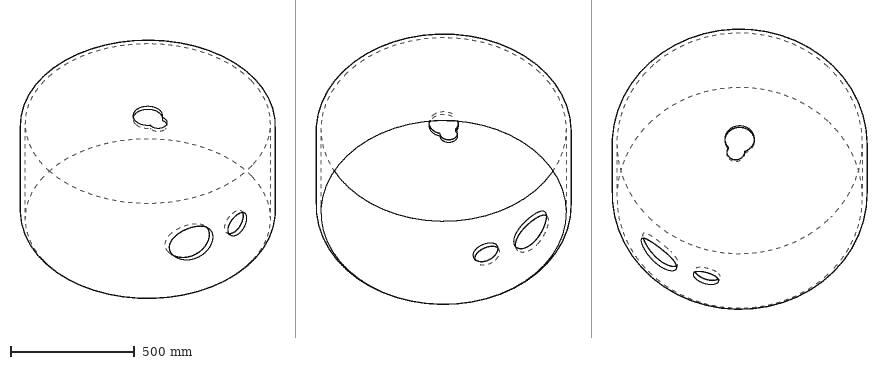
import cadquery as cq
import math

outer_radius = 515.0
height = 547.0
bore_radius = 990.0 / 2
wall = outer_radius - bore_radius
roof_thickness = 16.0

bottom_round_height = 43.0
bottom_round = (wall**2 + bottom_round_height**2) / (2 * wall)
shoulder_round = 32.0
roof_corner_radius = 402.0
roof_round = 57.0
slope = math.radians(14.5)

keyhole_diameter = 118.0
key_notch_diameter = 71.0
key_notch_x = 60.0

port_z = 283.0
large_port_diameter = 170.0
large_port_y = -211.0
small_port_diameter = 106.0
port_start_x = outer_radius / 2


def arc_point(center, radius, angle):
    """Point on a profile arc, with the angle measured from the vertical."""
    return (center[0] + radius * math.sin(angle), center[1] + radius * math.cos(angle))


def make_shell():
    """Open-bottomed drum with a rounded lower edge and a sloping roof rim."""
    flat_radius = roof_corner_radius - roof_round * math.tan(slope / 2)
    roof_center = (flat_radius, height - roof_round)
    cone_top = arc_point(roof_center, roof_round, slope)

    shoulder_x = outer_radius - shoulder_round
    cone_run = shoulder_x + shoulder_round * math.sin(slope) - roof_corner_radius
    cone_bottom_z = height - cone_run * math.tan(slope)
    shoulder_center = (shoulder_x, cone_bottom_z - shoulder_round * math.cos(slope))
    cone_bottom = arc_point(shoulder_center, shoulder_round, slope)
    shoulder_middle = arc_point(shoulder_center, shoulder_round, (slope + math.pi / 2) / 2)

    bottom_center = (outer_radius - bottom_round, bottom_round_height)
    rim_angle = math.pi / 2 + math.asin(bottom_round_height / bottom_round)
    bottom_middle = arc_point(bottom_center, bottom_round, (math.pi / 2 + rim_angle) / 2)

    ceiling_z = height - roof_thickness
    ceiling_radius = roof_corner_radius - roof_thickness * math.tan(slope / 2)
    eave_z = ceiling_z - (bore_radius - ceiling_radius) * math.tan(slope)

    profile = (
        cq.Workplane("XZ")
        .moveTo(0, height)
        .lineTo(flat_radius, height)
        .threePointArc(arc_point(roof_center, roof_round, slope / 2), cone_top)
        .lineTo(*cone_bottom)
        .threePointArc(shoulder_middle, (outer_radius, shoulder_center[1]))
        .lineTo(outer_radius, bottom_round_height)
        .threePointArc(bottom_middle, (bore_radius, 0))
        .lineTo(bore_radius, eave_z)
        .lineTo(ceiling_radius, ceiling_z)
        .lineTo(0, ceiling_z)
        .close()
    )
    return profile.revolve(360, (0, 0, 0), (0, 1, 0))


def roof_hole(x, diameter):
    """Vertical cutter reaching from the open bottom through the roof."""
    return cq.Workplane("XY").center(x, 0).circle(diameter / 2).extrude(height)


def wall_port(y, diameter):
    """Cutter along X that passes through the +X wall only."""
    start = cq.Workplane("YZ", origin=(port_start_x, y, port_z))
    return start.circle(diameter / 2).extrude(outer_radius)


result = make_shell()
for x, diameter in ((0, keyhole_diameter), (key_notch_x, key_notch_diameter)):
    result = result.cut(roof_hole(x, diameter))
for y, diameter in ((large_port_y, large_port_diameter), (0, small_port_diameter)):
    result = result.cut(wall_port(y, diameter))